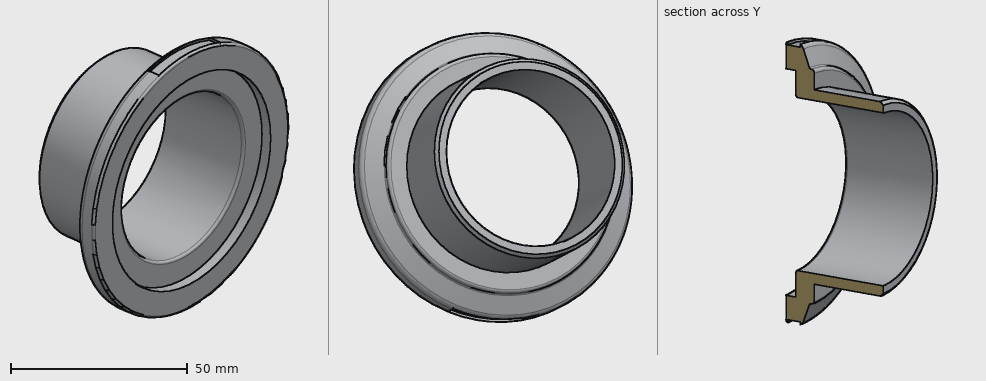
import cadquery as cq
import math

rim_diameter = 82.55
tube_diameter = 57.4
bore_diameter = 50.8
collar_diameter = 69.1
total_length = 33.0
recess_diameter = 66.5
recess_depth = 3.3
collar_start = 23.3
cone_start = 24.85
cone_angle = 21.0

tube_chamfer = 1.0
bore_edge_fillet = 0.8
collar_edge_fillet = 1.0
collar_root_fillet = 0.6
rim_back_fillet = 1.7
rim_front_fillet = 0.75

panel_start = 28.15
panel_width = 4.1
panel_length = 25.75
panel_depth = 0.8

selection_margin = 0.04

rim_radius = rim_diameter / 2
tube_radius = tube_diameter / 2
bore_radius = bore_diameter / 2
collar_radius = collar_diameter / 2
recess_radius = recess_diameter / 2
recess_floor = total_length - recess_depth

cone_end = cone_start + (rim_radius - collar_radius) * math.tan(math.radians(cone_angle))


def thin_box(x, half_width):
    """Select edges lying wholly inside a thin square box about the axis at position x."""
    return cq.selectors.BoxSelector(
        (x - selection_margin, -half_width, -half_width),
        (x + selection_margin, half_width, half_width),
        boundingbox=True,
    )


def edge_ring(x, radius):
    """Select the circular edge of the given radius lying at position x."""
    return thin_box(x, radius + selection_margin) - thin_box(x, radius - selection_margin)


def ferrule_body():
    """Tube, collar and conical flange revolved as one ring."""
    profile = [
        (0, bore_radius),
        (0, tube_radius - tube_chamfer),
        (tube_chamfer, tube_radius),
        (collar_start, tube_radius),
        (collar_start, collar_radius),
        (cone_start, collar_radius),
        (cone_end, rim_radius),
        (total_length, rim_radius),
        (total_length, recess_radius),
        (recess_floor, recess_radius),
        (recess_floor, bore_radius),
    ]
    body = cq.Workplane("XY").polyline(profile).close().revolve(360, (0, 0, 0), (1, 0, 0))
    fillets = [
        (collar_start, collar_radius, collar_edge_fillet),
        (cone_start, collar_radius, collar_root_fillet),
        (cone_end, rim_radius, rim_back_fillet),
        (total_length, rim_radius, rim_front_fillet),
        (recess_floor, bore_radius, bore_edge_fillet),
    ]
    for x, ring_radius, fillet_radius in fillets:
        body = body.edges(edge_ring(x, ring_radius)).fillet(fillet_radius)
    return body


def rim_panels():
    """Curved cutters of even depth for the two opposite rim panels."""
    ring = (
        cq.Workplane("YZ", origin=(panel_start, 0, 0))
        .circle(rim_radius + panel_depth)
        .circle(rim_radius - panel_depth)
        .extrude(panel_width)
    )
    slab = (
        cq.Workplane("YZ", origin=(panel_start, 0, 0))
        .rect(panel_length, 2 * (rim_radius + panel_depth))
        .extrude(panel_width)
    )
    return ring.intersect(slab)


result = ferrule_body().cut(rim_panels())